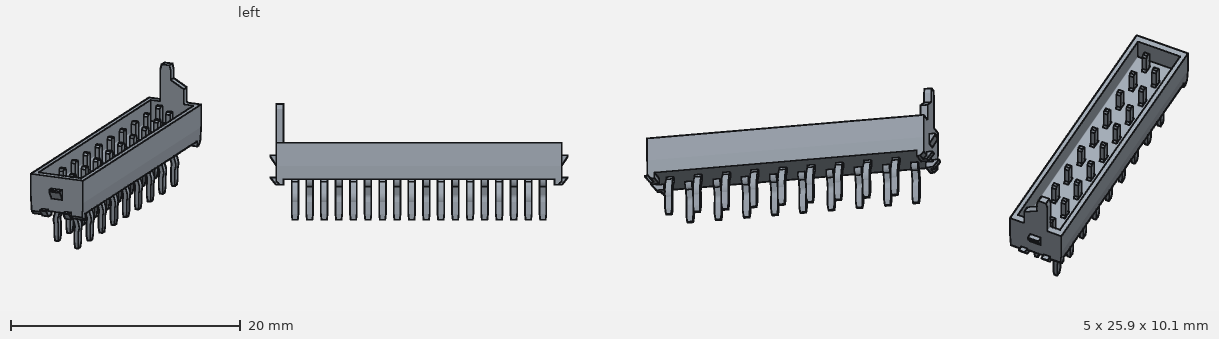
import cadquery as cq


housing_length = 24.89
housing_width = 5.0
foot_width = 4.8
housing_top = 3.68
taper_start = 1.63
underside = 0.49

side_wall = 0.45
end_wall = 0.65
floor_level = 1.78
floor_fillet = 0.1

foot_gap = 1.6
foot_chamfer = 0.33

latch_reach = 0.5
wedge_width = 1.04
wedge_bottom = 1.67
wedge_top = 2.6
wedge_tip_height = 0.15
hook_width = 0.6
hook_center = 1.1
hook_top = 0.65
hook_tip_height = 0.05

tab_half_width = 1.13
tab_top = 7.06
tab_upper_right = -0.13
tab_step = 5.75
tab_shoulder = 5.06
tab_taper_height = 0.46
tab_taper = 0.12
tab_fillet = 0.1

pin_count = 18
pin_pitch = 1.27
pin_thickness = 0.4
pin_width = 0.61
pin_row = 0.78
pin_top = 3.6
pin_point_width = 0.3
pin_point_height = 0.2
flare_width = 0.91
flare_height = 0.19
leg_row = 1.25
leg_bottom = -3.04
leg_taper_start = -2.53
leg_taper = 0.06

kink_bottom = -1.5
inner_bend_middle = (0.612, 0.2)
inner_bend_end = (0.71, -0.03)
inner_slope_start = (0.84, -0.17)
inner_knee_start = (1.08, -0.88)
inner_knee_middle = (1.105, -1.04)
inner_knee_end = (1.09, -1.2)
outer_bend_start = (1.03, 0.27)
outer_slope_start = (1.25, -0.05)
outer_knee_start = (1.47, -0.76)
outer_knee_middle = (1.515, -1.05)
outer_knee_end = (1.485, -1.38)

half_length = housing_length / 2


def make_housing():
    """Box with tapered lower sides, standing on chamfered feet at its ends."""
    half_top = housing_width / 2
    half_foot = foot_width / 2
    cross_section = [
        (-half_foot, 0),
        (half_foot, 0),
        (half_top, taper_start),
        (half_top, housing_top),
        (-half_top, housing_top),
        (-half_top, taper_start),
    ]
    block = cq.Workplane("XZ").polyline(cross_section).close().extrude(half_length, both=True)
    block = block.faces("<Z").edges("|X").chamfer(foot_chamfer)

    between_ends = cq.Workplane("XY").box(
        housing_width, housing_length - 2 * end_wall, underside, centered=(True, True, False)
    )
    between_feet = cq.Workplane("XY").box(
        foot_gap, housing_length, underside, centered=(True, True, False)
    )
    cavity = (
        cq.Workplane("XY", origin=(0, 0, floor_level))
        .rect(housing_width - 2 * side_wall, housing_length - 2 * end_wall)
        .extrude(housing_top - floor_level)
        .faces("<Z")
        .edges("|Y")
        .fillet(floor_fillet)
    )
    return block.cut(between_ends).cut(between_feet).cut(cavity)


def make_latch(center_x, width, bottom, top, tip_height):
    """Wedge on the +Y end face, flat on top and sloping back to the face below."""
    root = half_length - foot_chamfer
    tip = half_length + latch_reach
    profile = [
        (root, bottom),
        (half_length, bottom),
        (tip, top - tip_height),
        (tip, top),
        (root, top),
    ]
    return (
        cq.Workplane("YZ", origin=(center_x, 0, 0))
        .polyline(profile)
        .close()
        .extrude(width / 2, both=True)
    )


def make_end_latches():
    """One wedge and two low hooks, for the +Y end."""
    latches = make_latch(0, wedge_width, wedge_bottom, wedge_top, wedge_tip_height)
    for center_x in (-hook_center, hook_center):
        latches = latches.union(make_latch(center_x, hook_width, 0, hook_top, hook_tip_height))
    return latches


def make_tab():
    """Stepped key tab, as thick as the end wall, with fillets at its foot."""
    fillet_end = tab_half_width + tab_fillet
    fillet_top = housing_top + tab_fillet
    return (
        cq.Workplane("XZ", origin=(0, half_length, 0))
        .moveTo(-fillet_end, housing_top)
        .radiusArc((-tab_half_width, fillet_top), -tab_fillet)
        .lineTo(-tab_half_width, tab_top - tab_taper_height)
        .lineTo(-tab_half_width + tab_taper, tab_top)
        .lineTo(tab_upper_right - tab_taper, tab_top)
        .lineTo(tab_upper_right, tab_top - tab_taper_height)
        .lineTo(tab_upper_right, tab_step)
        .lineTo(tab_half_width, tab_shoulder)
        .lineTo(tab_half_width, fillet_top)
        .radiusArc((fillet_end, housing_top), -tab_fillet)
        .close()
        .extrude(end_wall)
    )


def make_pin():
    """Pin of the +X row: the kinked side outline crossed with the front outline."""
    inner = pin_row - pin_thickness / 2
    outer = pin_row + pin_thickness / 2
    leg_inner = leg_row - pin_thickness / 2
    leg_outer = leg_row + pin_thickness / 2
    kinked = (
        cq.Workplane("XZ")
        .moveTo(inner, pin_top)
        .lineTo(inner, underside)
        .threePointArc(inner_bend_middle, inner_bend_end)
        .lineTo(*inner_slope_start)
        .lineTo(*inner_knee_start)
        .threePointArc(inner_knee_middle, inner_knee_end)
        .lineTo(leg_inner, kink_bottom)
        .lineTo(leg_inner, leg_taper_start)
        .lineTo(leg_inner + leg_taper, leg_bottom)
        .lineTo(leg_outer - leg_taper, leg_bottom)
        .lineTo(leg_outer, leg_taper_start)
        .lineTo(leg_outer, kink_bottom)
        .lineTo(*outer_knee_end)
        .threePointArc(outer_knee_middle, outer_knee_start)
        .lineTo(*outer_slope_start)
        .lineTo(*outer_bend_start)
        .lineTo(outer, underside)
        .lineTo(outer, pin_top)
        .close()
        .extrude(flare_width, both=True)
    )

    half_width = pin_width / 2
    half_flare = flare_width / 2
    half_outline = [
        (pin_point_width / 2, pin_top),
        (half_width, pin_top - pin_point_height),
        (half_width, floor_level + flare_height),
        (half_flare, floor_level),
        (half_flare, underside),
        (half_width, underside),
        (half_width, leg_taper_start),
        (half_width - leg_taper, leg_bottom),
    ]
    mirrored_outline = [(-y, z) for y, z in reversed(half_outline)]
    front = (
        cq.Workplane("YZ")
        .polyline(half_outline + mirrored_outline)
        .close()
        .extrude(housing_width / 2)
    )
    return kinked.intersect(front)


right_pin = make_pin()
left_pin = right_pin.mirror("YZ")
end_latches = make_end_latches()

result = make_housing().union(end_latches).union(end_latches.mirror("XZ")).union(make_tab())
for index in range(pin_count):
    pin = left_pin if index % 2 == 0 else right_pin
    pin_y = ((pin_count - 1) / 2 - index) * pin_pitch
    result = result.union(pin.translate((0, pin_y, 0)))